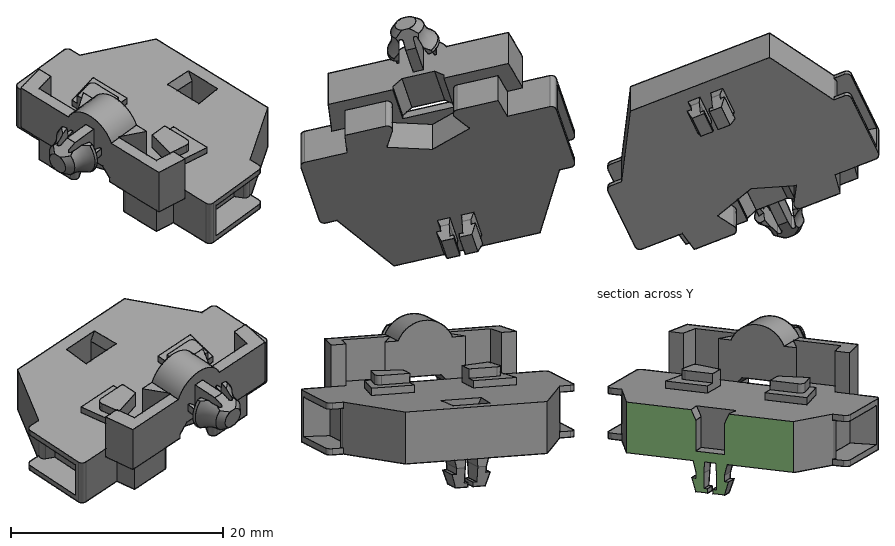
import cadquery as cq
import math


body_height = 5.0
back_y = 17.0
back_half_width = 7.15
shoulder_half_width = 10.9
ear_half_width = 12.5
ear_back_y = 10.45
ear_front_y = 3.1
ear_corner_radius = 0.5
block_front_y = 1.1
block_front_half_width = 7.5
block_back_half_width = 7.85

pocket_floor_z = 0.6
pocket_wall_x = 10.0
pocket_front_inner_y = 4.45
pocket_front_outer_y = 4.0
pocket_back_y = 9.2
pocket_back_angle = 30.0
pocket_lip_radius = 0.5

plate_bottom_z = 4.0
plate_top_z = 9.0
plate_front_half_width = 8.83
plate_back_half_width = 9.35
dovetail_back_y = 3.5
dovetail_back_half_width = 4.05
dovetail_front_half_width = 2.62

socket_apex_y = 4.9
socket_lip_radius = 0.5

boss_z = 7.8
boss_radius = 3.0
window_top_z = 5.45
window_shoulder_z = 4.5
window_half_width = 2.5
window_top_half_width = 1.6

pad_inner_x = 2.97
pad_front_x = 6.6
pad_back_x = 7.3
pad_back_y = 8.4
pad_front_y = 4.7
pad_inner_front_y = 5.45
pad_height = 0.7
step_front_x = 5.95
step_back_y = 7.2
step_top_height = 1.6
step_corner_radius = 0.5

opening_back_y = 15.75
opening_front_y = 13.0
opening_back_half_width = 1.86
opening_front_half_width = 2.02
opening_side_inset = 0.48
opening_taper_depth = 1.0
opening_floor_z = 1.0

leg_length = 3.0
leg_neck_length = 1.05
leg_hook_z = -1.65
leg_toe_z = -2.55
leg_root_outer_x = 1.79
leg_neck_outer_x = 1.5
leg_hook_outer_x = 1.92
leg_root_inner_x = 0.55
leg_inner_x = 0.63
leg_toe_inner_x = 0.26
leg_end_taper = 0.33

pin_z = 7.77
pin_length = 4.5
pin_half_height = 1.67
pin_tip_radius = 1.02
pin_neck_radius = 1.63
pin_neck_y = -3.87
barb_mid_radius = 1.97
barb_mid_y = -2.62
barb_rim_front_radius = 2.47
barb_rim_front_y = -1.98
barb_radius = 2.53
barb_rim_back_y = -1.7
barb_inner_radius = 1.4
barb_back_y = -1.42
taper_start_y = -2.62
tip_half_height = 0.97
blade_half_width = 0.5
slot_end_y = -3.67
slot_outer_x = 0.92
finger_end_y = -0.5
finger_inner_x = 1.73
finger_tip_outer_x = 1.94
finger_root_outer_x = 2.05
finger_half_height = 0.42


def mirror_points(half_outline):
    """Complete an outline given on the +X side with its -X half."""
    return half_outline + [(-x, y) for x, y in reversed(half_outline) if x > 0]


def prism(points, bottom_z, top_z):
    """Vertical prism over an XY outline."""
    return cq.Workplane("XY").workplane(offset=bottom_z).polyline(points).close().extrude(top_z - bottom_z)


def prism_along_y(points, front_y, far_y):
    """Prism over an XZ outline, running between two Y positions."""
    plane = cq.Workplane("XZ", origin=(0, front_y, 0))
    return plane.polyline(points).close().extrude(front_y - far_y)


def both_sides(shape):
    """The shape together with its mirror image across the YZ plane."""
    return shape.union(shape.mirror("YZ"))


def body_slab(bottom_z, top_z):
    outline = mirror_points([
        (block_front_half_width, block_front_y),
        (block_back_half_width, ear_front_y),
        (ear_half_width, ear_front_y),
        (ear_half_width, ear_back_y),
        (shoulder_half_width, ear_back_y),
        (back_half_width, back_y),
    ])
    slab = prism(outline, bottom_z, top_z)
    return slab.edges("|Z and (<X or >X)").fillet(ear_corner_radius)


def dovetail_half():
    return [
        (dovetail_front_half_width, block_front_y),
        (dovetail_back_half_width, dovetail_back_y),
    ]


def body():
    socket = prism(mirror_points(dovetail_half() + [(0, socket_apex_y)]), 0, plate_bottom_z)
    lower = body_slab(0, plate_bottom_z).cut(socket)
    for side in (-1, 1):
        lip = (side * dovetail_front_half_width, block_front_y, plate_bottom_z / 2)
        lower = lower.edges(cq.selectors.NearestToPointSelector(lip)).fillet(socket_lip_radius)
    return lower.union(body_slab(plate_bottom_z, body_height))


def ear_pocket():
    back_slope = math.tan(math.radians(pocket_back_angle))
    side_slope = (shoulder_half_width - back_half_width) / (back_y - ear_back_y)
    side_at_pocket = shoulder_half_width + side_slope * (ear_back_y - pocket_back_y)
    lip_rise = (side_at_pocket - pocket_wall_x) / (1 / back_slope + side_slope)
    lip = (pocket_wall_x + lip_rise / back_slope, pocket_back_y + lip_rise)

    pocket = prism(
        [
            (pocket_wall_x, pocket_front_inner_y),
            (ear_half_width, pocket_front_outer_y),
            (ear_half_width, ear_back_y),
            (shoulder_half_width, ear_back_y),
            lip,
            (pocket_wall_x, pocket_back_y),
        ],
        pocket_floor_z,
        body_height - pocket_floor_z,
    )
    lip_edge = cq.selectors.NearestToPointSelector((*lip, body_height / 2))
    return pocket.edges(lip_edge).fillet(pocket_lip_radius)


def top_opening():
    def outline(inset):
        return mirror_points([
            (opening_front_half_width - inset, opening_front_y),
            (opening_back_half_width - inset, opening_back_y),
        ])

    taper_bottom_z = body_height - opening_taper_depth
    mouth = (
        cq.Workplane("XY").workplane(offset=taper_bottom_z)
        .polyline(outline(opening_side_inset)).close()
        .workplane(offset=opening_taper_depth)
        .polyline(outline(0)).close()
        .loft(ruled=True)
    )
    return mouth.union(prism(outline(opening_side_inset), opening_floor_z, taper_bottom_z))


def plate():
    outline = mirror_points([
        (plate_front_half_width, 0),
        (plate_back_half_width, ear_front_y),
        (block_back_half_width, ear_front_y),
        (block_front_half_width, block_front_y),
    ])
    post = prism(mirror_points(dovetail_half()), plate_bottom_z, plate_top_z)
    boss = cq.Workplane("XZ").center(0, boss_z).circle(boss_radius).extrude(-dovetail_back_y)
    boss_cap = boss.cut(cq.Workplane("XY").box(
        2 * boss_radius, 2 * dovetail_back_y, plate_top_z, centered=(True, True, False)
    ))
    return prism(outline, plate_bottom_z, plate_top_z).union(post).union(boss_cap)


def window():
    outline = mirror_points([
        (window_half_width, plate_bottom_z),
        (window_half_width, window_shoulder_z),
        (window_top_half_width, window_top_z),
    ])
    return prism_along_y(outline, 0, dovetail_back_y)


def pad():
    base = prism(
        [
            (pad_inner_x, pad_inner_front_y),
            (step_front_x, pad_front_y),
            (pad_front_x, pad_front_y),
            (pad_back_x, pad_back_y),
            (pad_inner_x, pad_back_y),
        ],
        body_height,
        body_height + pad_height,
    )
    side_slope = (pad_back_x - pad_front_x) / (pad_back_y - pad_front_y)
    step_back_x = step_front_x + side_slope * (step_back_y - pad_front_y)
    step = prism(
        [
            (pad_inner_x, pad_inner_front_y),
            (step_front_x, pad_front_y),
            (step_back_x, step_back_y),
            (pad_inner_x, step_back_y),
        ],
        body_height,
        body_height + step_top_height,
    )
    corner_point = (step_back_x, step_back_y, body_height + step_top_height / 2)
    corner = cq.selectors.NearestToPointSelector(corner_point)
    return base.union(step.edges(corner).fillet(step_corner_radius))


def leg():
    profile = prism_along_y(
        [
            (leg_root_inner_x, 0),
            (leg_root_outer_x, 0),
            (leg_neck_outer_x, -leg_neck_length),
            (leg_neck_outer_x, leg_hook_z),
            (leg_hook_outer_x, leg_hook_z),
            (leg_neck_outer_x, -leg_length),
            (leg_toe_inner_x, -leg_length),
            (leg_toe_inner_x, leg_toe_z),
            (leg_inner_x, leg_toe_z),
            (leg_inner_x, -leg_neck_length),
        ],
        opening_front_y,
        opening_back_y,
    )
    side_taper = (
        cq.Workplane("YZ")
        .polyline([
            (opening_front_y, 0),
            (opening_back_y, 0),
            (opening_back_y, -leg_neck_length),
            (opening_back_y - leg_end_taper, -leg_length),
            (opening_front_y + leg_end_taper, -leg_length),
            (opening_front_y, -leg_neck_length),
        ])
        .close()
        .extrude(leg_hook_outer_x)
    )
    return profile.intersect(side_taper)


def snap_pin():
    head = (
        cq.Workplane("XY")
        .moveTo(0, -pin_length)
        .lineTo(pin_tip_radius, -pin_length)
        .lineTo(pin_neck_radius, pin_neck_y)
        .threePointArc((barb_mid_radius, barb_mid_y), (barb_rim_front_radius, barb_rim_front_y))
        .lineTo(barb_radius, barb_rim_back_y)
        .lineTo(barb_inner_radius, barb_back_y)
        .lineTo(0, barb_back_y)
        .close()
        .revolve(360, (0, 0, 0), (0, 1, 0))
    )
    blade = cq.Workplane("XY").box(
        2 * blade_half_width, -barb_rim_back_y, 2 * pin_half_height, centered=(True, False, True)
    ).translate((0, barb_rim_back_y, 0))
    envelope_half = [(0, pin_half_height), (taper_start_y, pin_half_height), (-pin_length, tip_half_height)]
    envelope = (
        cq.Workplane("YZ")
        .polyline(envelope_half + [(y, -z) for y, z in reversed(envelope_half)])
        .close()
        .extrude(barb_radius, both=True)
    )

    slot_radius = (slot_outer_x - blade_half_width) / 2
    slot_round_y = slot_end_y + slot_radius
    slot = (
        cq.Workplane("XY")
        .moveTo(blade_half_width, finger_end_y)
        .lineTo(blade_half_width, slot_round_y)
        .threePointArc((blade_half_width + slot_radius, slot_end_y), (slot_outer_x, slot_round_y))
        .lineTo(finger_inner_x, finger_end_y)
        .close()
        .extrude(pin_half_height, both=True)
    )
    finger = (
        cq.Workplane("XY")
        .polyline([
            (finger_inner_x, finger_end_y),
            (finger_tip_outer_x, finger_end_y),
            (finger_root_outer_x, barb_rim_back_y),
            (pin_neck_radius, taper_start_y),
            (slot_outer_x, slot_round_y),
        ])
        .close()
        .extrude(finger_half_height, both=True)
    )
    pin = head.intersect(envelope).cut(both_sides(slot)).union(both_sides(finger)).union(blade)
    return pin.translate((0, 0, pin_z))


result = (
    body()
    .cut(both_sides(ear_pocket()))
    .cut(top_opening())
    .union(plate())
    .cut(window())
    .union(both_sides(pad()))
    .union(both_sides(leg()))
    .union(snap_pin())
)